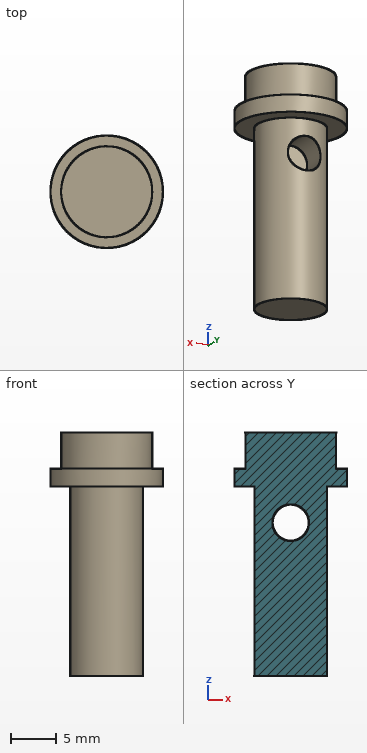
import cadquery as cq

stem_diameter = 8.1
stem_length = 21.0

flange_diameter = 12.5
flange_thickness = 2.0
head_diameter = 10.1
head_height = 4.0

cross_hole_diameter = 4.0
cross_hole_below_flange = 4.0
cross_hole_z = stem_length - cross_hole_below_flange


def disc(diameter, height, base_z):
    """Solid cylinder about the Z axis, starting at base_z."""
    return cq.Workplane("XY").workplane(offset=base_z).circle(diameter / 2).extrude(height)


def cross_hole():
    """Cutter running along +Y from the stem axis out past the stem surface."""
    return (
        cq.Workplane("XZ", origin=(0, 0, cross_hole_z))
        .circle(cross_hole_diameter / 2)
        .extrude(-stem_diameter)
    )


stem = disc(stem_diameter, stem_length, 0).cut(cross_hole())
flange = disc(flange_diameter, flange_thickness, stem_length)
head = disc(head_diameter, head_height, stem_length + flange_thickness)

result = stem.union(flange).union(head)